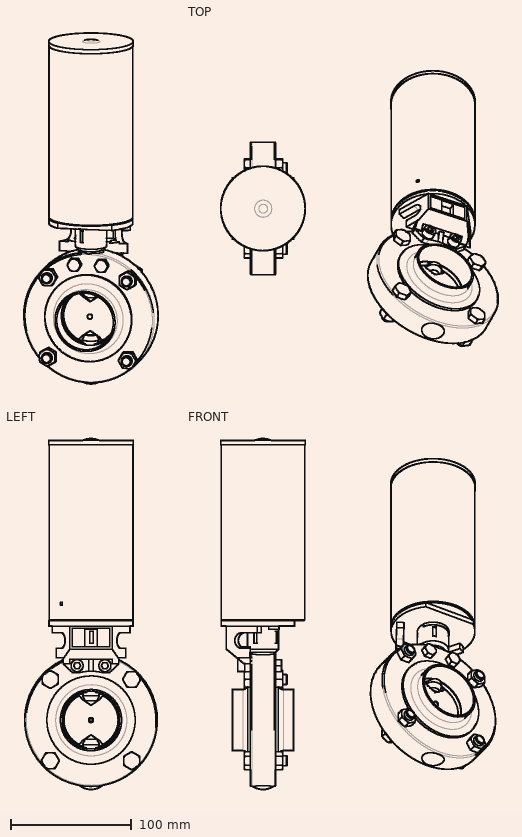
import cadquery as cq
import math


flange_radius = 55.0
flange_half = 10.4
flange_edge = 1.2
ring_radius = 36.6
ring_face = 12.7
tube_radius = 50.8 / 2
bore_radius = 47.8 / 2
tube_end = 25.3
tube_fillet = 4.1

disc_rim_radius = 22.4
disc_rim_half = 3.0
disc_centre_half = 4.6
seat_bore_radius = 23.3
seat_half = 6.0
disc_pin_radius = 4.13 / 2
disc_pin_recess_radius = 2.5 / 2
disc_pin_height = 0.4
boss_radius = 14.2 / 2
boss_tip_radius = 5.0
boss_shoulder = 20.3
boss_tip = 16.0
recess_apex = 12.2
recess_shoulder = 17.3
recess_shoulder_half_width = 7.3
recess_top = 21.2
recess_top_half_width = 10.5
recess_web_half = 1.2
foot_cap_radius = 19.0 / 2
foot_cap_bottom = -57.6

bolt_offset = 33.7
bolt_radius = 8.5 / 2
bolt_flats = 13.0
bolt_head_height = 5.1
nut_height = 6.1
bolt_end = 20.2
bolt_chamfer = 0.8
hex_corner_trim = 0.6

hub_radius = 26.0 / 2
hub_bottom_radius = 10.4
hub_chamfer_top = 58.6
hub_bottom = 54.0
key_slot_angles = (182, 240, 334)
key_slot_width = 3.0
key_slot_depth = 1.2
key_slot_bottom = 63.7
key_slot_top = 73.5
hub_lip_radius = 13.3
hub_lip_bottom = 75.2
hub_lip_start_x = 4.8

bracket_top = 77.9
bracket_bottom = 51.5
wall = 6.0
front_x = -30.5
front_half_width = 17.4
wing_top_x = -4.6
wing_end_half_width = 32.3
wing_low_x = -10.6
floor_top = 60.8
notch_radius = 12.8 / 2
notch_z = 65.9
notch_run = 8.3
window_half_width = 5.0
window_top = 75.3
panel_half_width = 15.4
panel_top = 75.9
panel_depth = 0.5
slope_top = 58.8
slope_end_x = -15.8
slope_end_z = 46.7
screw_bay_half_width = 17.5
screw_bay_top = 50.4

foot_face = -15.2
foot_half_width = 23.1
foot_bottom_half_width = 15.0
foot_bevel_top = 46.6
foot_bottom = 39.0
foot_arc_radius = 40.5
rib_half_width = 2.0
rib_depth = 3.0
rib_bottom = 41.0
screw_y = 11.5
screw_z = 45.1
screw_head_radius = 10.0 / 2
screw_head_end = -21.0
screw_socket_flats = 5.0
screw_socket_depth = 3.0
screw_nut_flats = 10.0
screw_nut_height = 5.1

cylinder_radius = 69.6 / 2
cap_radius = 70.2 / 2
cap_thickness = 3.5
base_top = 82.3
base_cut_x = 26.2
cylinder_chamfer = 0.9
actuator_top = 231.7
button_radius = 14.2 / 2
button_crown_radius = 7.32 / 2
button_shoulder = 232.8
button_top = 233.4
vent_radius = 2.5 / 2
vent_z = 96.4
vent_angle = 135
vent_depth = 4.0


def turned_about_x(profile):
    """Solid of revolution about X from a closed profile drawn as (x, radius)."""
    return profile.close().revolve(360, (0, 0, 0), (1, 0, 0))


def disc_about_x(radius, x_start, x_end):
    return cq.Workplane("YZ", origin=(x_start, 0, 0)).circle(radius).extrude(x_end - x_start)


def hexagon(flats, x_start, x_end, y, z, turn):
    """Hexagonal prism along X with its corners trimmed to a turned chamfer."""
    corner_diameter = flats / math.cos(math.pi / 6)
    length = x_end - x_start
    blank = (
        cq.Workplane("YZ").polygon(6, corner_diameter).extrude(length)
        .intersect(
            cq.Workplane("YZ").circle(corner_diameter / 2).extrude(length)
            .faces(">X" if x_start > 0 else "<X").chamfer(hex_corner_trim)
        )
    )
    return blank.rotate((0, 0, 0), (1, 0, 0), turn).translate((x_start, y, z))


def make_flanges():
    plates = disc_about_x(flange_radius, -flange_half, flange_half).edges().fillet(flange_edge)
    ring = disc_about_x(ring_radius, -ring_face, ring_face)
    tube = disc_about_x(tube_radius, -tube_end, tube_end)
    body = plates.union(ring).union(tube)
    for side in (-1, 1):
        fillet_start = side * (ring_face + tube_fillet)
        middle = tube_fillet * (1 - math.sqrt(0.5))
        flare = turned_about_x(
            cq.Workplane("XY").moveTo(side * (ring_face - 1), bore_radius)
            .lineTo(side * (ring_face - 1), tube_radius + tube_fillet)
            .lineTo(side * ring_face, tube_radius + tube_fillet)
            .threePointArc((side * (ring_face + middle), tube_radius + middle),
                           (fillet_start, tube_radius))
            .lineTo(fillet_start, bore_radius)
        )
        body = body.union(flare)
    body = body.cut(disc_about_x(bore_radius, -tube_end, tube_end))
    seat = disc_about_x(bore_radius + 1, -seat_half, seat_half)
    return body.union(seat.cut(disc_about_x(seat_bore_radius, -seat_half, seat_half)))


def make_disc():
    disc = turned_about_x(
        cq.Workplane("XY").moveTo(-disc_centre_half, 0)
        .lineTo(-disc_rim_half, disc_rim_radius)
        .lineTo(-disc_rim_half / 2, seat_bore_radius + 0.5)
        .lineTo(disc_rim_half / 2, seat_bore_radius + 0.5)
        .lineTo(disc_rim_half, disc_rim_radius)
        .lineTo(disc_centre_half, 0)
    )
    pin_end = disc_centre_half + disc_pin_height
    disc = disc.union(disc_about_x(disc_pin_radius, -pin_end, pin_end))
    disc = disc.cut(disc_about_x(disc_pin_recess_radius, -pin_end, -disc_centre_half))
    recess = (
        cq.Workplane("YZ")
        .polyline([(0, recess_apex), (recess_shoulder_half_width, recess_shoulder),
                   (recess_top_half_width, recess_top), (-recess_top_half_width, recess_top),
                   (-recess_shoulder_half_width, recess_shoulder)])
        .close().extrude(disc_centre_half, both=True)
        .cut(cq.Workplane("XY").box(2 * recess_web_half, 2 * disc_rim_radius, 2 * disc_rim_radius))
    )
    disc = disc.cut(recess).cut(recess.mirror("XY"))
    boss = (
        cq.Workplane("XZ").moveTo(0, boss_tip)
        .lineTo(boss_tip_radius, boss_tip)
        .lineTo(boss_radius, boss_shoulder)
        .lineTo(boss_radius, tube_radius)
        .lineTo(0, tube_radius)
        .close().revolve(360, (0, 0, 0), (0, 1, 0))
    )
    return disc.union(boss).union(boss.mirror("XY"))


def make_foot_cap():
    """Rounded end of the lower stem bearing, standing out of the flange rim."""
    rim_z = -math.sqrt(flange_radius ** 2 - foot_cap_radius ** 2)
    crown_radius = (foot_cap_radius ** 2 + (foot_cap_bottom - rim_z) ** 2) / 2 / (rim_z - foot_cap_bottom)
    ball = cq.Workplane("XY").sphere(crown_radius).translate((0, 0, foot_cap_bottom + crown_radius))
    core = (
        cq.Workplane("XY", origin=(0, 0, foot_cap_bottom))
        .circle(foot_cap_radius).extrude(flange_radius - tube_radius)
    )
    return core.intersect(ball)


def make_flange_bolt(y, z, turn):
    head = hexagon(bolt_flats, -flange_half - bolt_head_height, -flange_half, y, z, turn)
    nut = hexagon(bolt_flats, flange_half, flange_half + nut_height, y, z, turn)
    shank = disc_about_x(bolt_radius, flange_half, bolt_end).faces(">X").chamfer(bolt_chamfer)
    return head.union(nut).union(shank.translate((0, y, z)))


def make_hub():
    hub = (
        cq.Workplane("XZ").moveTo(0, hub_bottom)
        .lineTo(hub_bottom_radius, hub_bottom)
        .lineTo(hub_bottom_radius, hub_chamfer_top - (hub_radius - hub_bottom_radius))
        .lineTo(hub_radius, hub_chamfer_top)
        .lineTo(hub_radius, bracket_top)
        .lineTo(0, bracket_top)
        .close().revolve(360, (0, 0, 0), (0, 1, 0))
    )
    lip = (
        cq.Workplane("XY", origin=(0, 0, hub_lip_bottom))
        .circle(hub_lip_radius).extrude(bracket_top - hub_lip_bottom)
        .intersect(
            cq.Workplane("XY").box(hub_lip_radius, 2 * hub_lip_radius, 2 * bracket_top)
            .translate((hub_lip_start_x + hub_lip_radius / 2, 0, 0))
        )
    )
    hub = hub.union(lip)
    slot_height = key_slot_top - key_slot_bottom
    slot = cq.Workplane("XY").box(2 * key_slot_depth, key_slot_width, slot_height)
    slot = slot.translate((hub_radius, 0, key_slot_bottom + slot_height / 2))
    for angle in key_slot_angles:
        hub = hub.cut(slot.rotate((0, 0, 0), (0, 0, 1), angle))
    return hub


def make_bracket():
    height = bracket_top - bracket_bottom
    wing_x = wing_top_x - front_x
    wing_y = wing_end_half_width - front_half_width
    wing_length = math.hypot(wing_x, wing_y)
    along_x = wing_x / wing_length
    along_y = wing_y / wing_length

    inner_x = front_x + wall
    inner_half_width = front_half_width - wall * (1 - along_y) / along_x
    inner_end_x = wing_top_x + wall * along_y
    inner_end_half_width = wing_end_half_width - wall * along_x
    outside = [
        (front_x, front_half_width), (wing_top_x, wing_end_half_width),
        (inner_end_x, inner_end_half_width), (inner_end_x, -inner_end_half_width),
        (wing_top_x, -wing_end_half_width), (front_x, -front_half_width),
    ]
    inside = [
        (inner_x, inner_half_width), (inner_end_x, inner_end_half_width),
        (inner_end_x, -inner_end_half_width), (inner_x, -inner_half_width),
    ]
    bracket = cq.Workplane("XY", origin=(0, 0, bracket_bottom)).polyline(outside).close().extrude(height)
    bracket = bracket.cut(
        cq.Workplane("XY", origin=(0, 0, floor_top)).polyline(inside).close().extrude(height)
    )

    bracket = bracket.cut(
        cq.Workplane("XY").box(-2 * wing_low_x, 2 * flange_radius, notch_z, centered=(True, True, False))
    )

    for side in (-1, 1):
        fold = cq.Plane(
            origin=(front_x, side * front_half_width, notch_z),
            xDir=(along_x, side * along_y, 0), normal=(along_y, -side * along_x, 0),
        )
        centre = notch_run + notch_radius
        notch = cq.Workplane(fold).center(centre, 0).circle(notch_radius).extrude(wall * 3, both=True)
        channel = (
            cq.Workplane(fold).center(centre + wing_length / 2, 0)
            .rect(wing_length, 2 * notch_radius).extrude(wall, both=True)
        )
        wing_side = (
            cq.Workplane("XY").box(2 * flange_radius, flange_radius, 2 * bracket_top)
            .translate((0, side * (flange_radius / 2 + inner_half_width), bracket_top))
        )
        bracket = bracket.cut(notch.union(channel).intersect(wing_side))

    bracket = bracket.cut(
        cq.Workplane("XY", origin=(front_x, 0, floor_top))
        .rect(2 * panel_depth, 2 * panel_half_width).extrude(panel_top - floor_top)
    )
    window_height = window_top - floor_top
    bracket = bracket.cut(
        cq.Workplane("XY", origin=(front_x, 0, floor_top))
        .rect(2 * wall, 2 * window_half_width).extrude(window_height)
    )

    slope = (slope_top - slope_end_z) / (slope_end_x - front_x)
    bottom_x = front_x + (slope_top - bracket_bottom) / slope
    bracket = bracket.cut(
        cq.Workplane("XZ")
        .polyline([(front_x, slope_top), (bottom_x, bracket_bottom), (front_x, bracket_bottom)])
        .close().extrude(flange_radius, both=True)
    )
    skirt = (
        cq.Workplane("XZ")
        .polyline([(bottom_x, bracket_bottom), (slope_end_x, slope_end_z),
                   (wing_low_x, slope_end_z), (wing_low_x, bracket_bottom)])
        .close().extrude(foot_half_width, both=True)
    )
    bracket = bracket.union(skirt)

    bay_height = screw_bay_top - slope_end_z
    bay = (
        cq.Workplane("XY", origin=(0, 0, slope_end_z))
        .rect(-2 * foot_face, 2 * screw_bay_half_width).extrude(bay_height)
        .translate((2 * foot_face, 0, 0))
    )
    return bracket.cut(bay)


def make_foot():
    foot = (
        cq.Workplane("YZ", origin=(foot_face, 0, 0))
        .polyline([(foot_half_width, bracket_bottom), (foot_half_width, foot_bevel_top),
                   (foot_bottom_half_width, foot_bottom), (-foot_bottom_half_width, foot_bottom),
                   (-foot_half_width, foot_bevel_top), (-foot_half_width, bracket_bottom)])
        .close().extrude(-flange_half - foot_face)
        .cut(disc_about_x(foot_arc_radius, foot_face, -flange_half))
    )
    rib = (
        cq.Workplane("XZ")
        .polyline([(foot_face, rib_bottom), (foot_face - rib_depth, screw_bay_top),
                   (foot_face, screw_bay_top)])
        .close().extrude(rib_half_width, both=True)
    )
    foot = foot.union(rib)
    for side in (-1, 1):
        y = side * screw_y
        head = disc_about_x(screw_head_radius, screw_head_end, foot_face)
        socket = (
            cq.Workplane("YZ", origin=(screw_head_end, 0, 0))
            .polygon(6, screw_socket_flats / math.cos(math.pi / 6)).extrude(screw_socket_depth)
        )
        foot = foot.union(head.cut(socket).translate((0, y, screw_z)))
        nut_end = flange_half + screw_nut_height
        foot = foot.union(hexagon(screw_nut_flats, flange_half, nut_end, y, screw_z, 0))
    return foot


def make_valve():
    valve = make_flanges().union(make_disc()).union(make_foot_cap())
    for index in range(4):
        angle = math.radians(45 + 90 * index)
        reach = bolt_offset * math.sqrt(2)
        bolt = make_flange_bolt(reach * math.cos(angle), reach * math.sin(angle), 90 * (index + 1))
        valve = valve.union(bolt)
    return valve.union(make_bracket()).union(make_hub()).union(make_foot())


def make_actuator():
    base = (
        cq.Workplane("XY", origin=(0, 0, bracket_top))
        .circle(cylinder_radius).extrude(base_top - bracket_top)
    )
    base = base.intersect(
        cq.Workplane("XY")
        .box(2 * cylinder_radius, 2 * cylinder_radius, 2 * base_top)
        .translate((base_cut_x - cylinder_radius, 0, 0))
    )
    cylinder = (
        cq.Workplane("XY", origin=(0, 0, base_top))
        .circle(cylinder_radius).extrude(actuator_top - cap_thickness - base_top)
        .faces("<Z").chamfer(cylinder_chamfer)
    )
    cap = (
        cq.Workplane("XY", origin=(0, 0, actuator_top - cap_thickness))
        .circle(cap_radius).extrude(cap_thickness)
    )
    button = (
        cq.Workplane("XZ").moveTo(0, actuator_top)
        .lineTo(button_radius, actuator_top)
        .lineTo(button_crown_radius, button_shoulder)
        .lineTo(0, button_top)
        .close().revolve(360, (0, 0, 0), (0, 1, 0))
    )
    vent = (
        cq.Workplane("YZ", origin=(cylinder_radius - vent_depth, 0, vent_z))
        .circle(vent_radius).extrude(2 * vent_depth)
        .rotate((0, 0, 0), (0, 0, 1), vent_angle)
    )
    return base.union(cylinder).union(cap).union(button).cut(vent)


valve = make_valve()
actuator = make_actuator()
result = cq.Compound.makeCompound([*valve.solids().vals(), *actuator.solids().vals()])